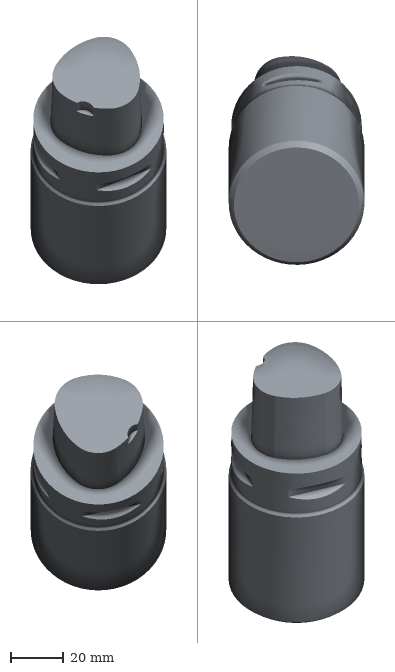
import cadquery as cq
import math

TOTAL_HEIGHT = 105.0
SHANK_HEIGHT = 30.0
COLLAR_HEIGHT = 20.0
SHOULDER_Z = TOTAL_HEIGHT - SHANK_HEIGHT - COLLAR_HEIGHT

BODY_RADIUS = 52.0 / 2
COLLAR_RADIUS = 50.0 / 2
BASE_CHAMFER = 2.0
SHOULDER_BLEND_RADIUS = 0.7

LOBE_COUNT = 3
LOBE_RADIUS = 12.5
LOBE_OFFSET = 6.0
FLANK_REACH = 16.5
SHANK_TAPER = math.degrees(math.atan(1 / 40))

NOTCH_RADIUS = 4.2
NOTCH_FLOOR_Y = -13.9
NOTCH_HEIGHT = 5.6

SLOT_COUNT = 4
SLOT_CENTER_Z = 65.0
SLOT_FLOOR_DISTANCE = 22.2
SLOT_FLOOR_HEIGHT = 3.6
SLOT_WALL_ANGLE = 30.0


def polar(radius, degrees):
    angle = math.radians(degrees)
    return (radius * math.cos(angle), radius * math.sin(angle))


def make_body():
    shoulder_start_z = SHOULDER_Z - (BODY_RADIUS - COLLAR_RADIUS)
    blend_length = SHOULDER_BLEND_RADIUS * math.tan(math.radians(45 / 2))
    blend_x, blend_drop = polar(blend_length, 45)
    collar_top_z = SHOULDER_Z + COLLAR_HEIGHT
    return (
        cq.Workplane("XZ")
        .lineTo(BODY_RADIUS - BASE_CHAMFER, 0)
        .lineTo(BODY_RADIUS, BASE_CHAMFER)
        .lineTo(BODY_RADIUS, shoulder_start_z)
        .lineTo(COLLAR_RADIUS + blend_x, SHOULDER_Z - blend_drop)
        .tangentArcPoint((COLLAR_RADIUS, SHOULDER_Z + blend_length), relative=False)
        .lineTo(COLLAR_RADIUS, collar_top_z)
        .lineTo(0, collar_top_z)
        .close()
        .revolve(360, (0, 0), (0, 1))
    )


def make_shank():
    reach_gap = FLANK_REACH - LOBE_RADIUS
    flank_offset = (LOBE_OFFSET**2 - reach_gap**2) / (2 * reach_gap - LOBE_OFFSET)

    half_pitch = 180 / LOBE_COUNT
    flank_x, flank_y = polar(-flank_offset, half_pitch)
    join_direction = math.atan2(-flank_y, LOBE_OFFSET - flank_x)
    join_x = LOBE_OFFSET + LOBE_RADIUS * math.cos(join_direction)
    join_y = LOBE_RADIUS * math.sin(join_direction)
    join_distance = math.hypot(join_x, join_y)
    join_angle = math.degrees(math.atan2(join_y, join_x))

    first_lobe = 90
    outline = cq.Workplane("XY", origin=(0, 0, TOTAL_HEIGHT - SHANK_HEIGHT))
    outline = outline.moveTo(*polar(join_distance, first_lobe - join_angle))
    for index in range(LOBE_COUNT):
        lobe = first_lobe + 2 * half_pitch * index
        next_lobe = lobe + 2 * half_pitch
        outline = outline.threePointArc(
            polar(LOBE_OFFSET + LOBE_RADIUS, lobe), polar(join_distance, lobe + join_angle)
        )
        outline = outline.threePointArc(
            polar(FLANK_REACH, lobe + half_pitch), polar(join_distance, next_lobe - join_angle)
        )
    return outline.close().extrude(SHANK_HEIGHT, taper=SHANK_TAPER)


def make_notch_cutter():
    return (
        cq.Workplane("XY", origin=(0, NOTCH_FLOOR_Y - NOTCH_RADIUS, TOTAL_HEIGHT - NOTCH_HEIGHT))
        .circle(NOTCH_RADIUS)
        .extrude(NOTCH_HEIGHT)
    )


def make_slot_cutter(direction):
    floor_half = SLOT_FLOOR_HEIGHT / 2
    depth = BODY_RADIUS - SLOT_FLOOR_DISTANCE
    mouth_half = floor_half + depth * math.tan(math.radians(SLOT_WALL_ANGLE))
    section = [
        (SLOT_FLOOR_DISTANCE, SLOT_CENTER_Z - floor_half),
        (BODY_RADIUS, SLOT_CENTER_Z - mouth_half),
        (BODY_RADIUS, SLOT_CENTER_Z + mouth_half),
        (SLOT_FLOOR_DISTANCE, SLOT_CENTER_Z + floor_half),
    ]
    cutter = cq.Workplane("XZ").polyline(section).close().extrude(COLLAR_RADIUS, both=True)
    return cutter.rotate((0, 0, 0), (0, 0, 1), direction)


result = make_body().union(make_shank()).cut(make_notch_cutter())
slot_pitch = 360 / SLOT_COUNT
for slot in range(SLOT_COUNT):
    result = result.cut(make_slot_cutter(slot_pitch * (slot + 0.5)))